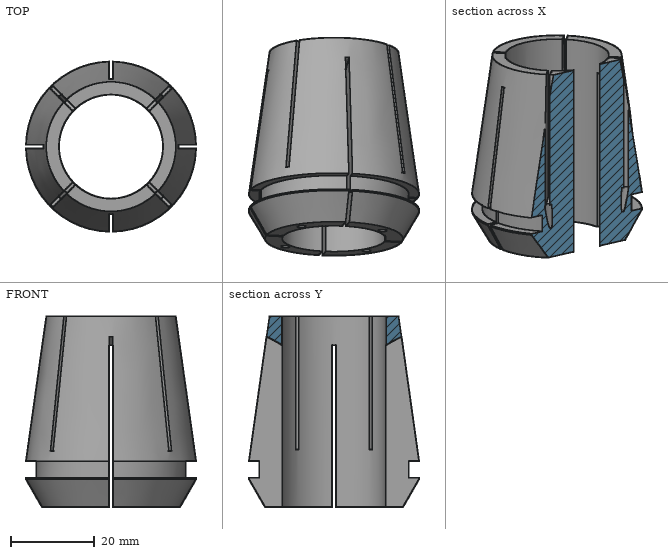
import cadquery as cq
import math

total_height = 46.0
bore_radius = 12.5
largest_radius = 20.5
groove_radius = 18.0
nose_height = 6.75
rim_top = 7.1
groove_top = 11.1
taper_angle = 8.0
nose_angle = 30.0

slot_width = 0.9
lower_slot_disc_radius = 30.0
lower_slot_disc_center = (28.7, 13.7)
upper_slot_disc_radius = 16.0
upper_slot_disc_center = (17.07, 29.25)
first_lower_slot_angle = 0.0
first_upper_slot_angle = 45.0
slots_per_end = 4

hole_diameter = 2.0
hole_slant = 10.0
hole_end_radius = 16.4

clearance = 1.0

slot_inner = bore_radius - clearance
slot_outer = largest_radius + clearance


def make_body():
    nose_bottom_radius = largest_radius - nose_height * math.tan(math.radians(nose_angle))
    taper_height = total_height - groove_top
    top_radius = largest_radius - taper_height * math.tan(math.radians(taper_angle))
    outline = [
        (bore_radius, 0),
        (nose_bottom_radius, 0),
        (largest_radius, nose_height),
        (largest_radius, rim_top),
        (groove_radius, rim_top),
        (groove_radius, groove_top),
        (largest_radius, groove_top),
        (top_radius, total_height),
        (bore_radius, total_height),
    ]
    return cq.Workplane("XZ").polyline(outline).close().revolve(360, (0, 0), (0, 1))


def disc_point(radius_from_axis, center, disc_radius, side):
    """Point on the disc edge, above (side = 1) or below (side = -1) the disc center."""
    offset = radius_from_axis - center[0]
    return radius_from_axis, center[1] + side * math.sqrt(disc_radius**2 - offset**2)


def make_slot(center, disc_radius, side, open_height, width=slot_width):
    """Radial slot along +X, open at open_height and closed by the disc edge."""
    middle = (slot_inner + slot_outer) / 2
    inner_end = disc_point(slot_inner, center, disc_radius, side)
    middle_end = disc_point(middle, center, disc_radius, side)
    outer_end = disc_point(slot_outer, center, disc_radius, side)
    return (
        cq.Workplane("XZ")
        .moveTo(slot_inner, open_height)
        .lineTo(*inner_end)
        .threePointArc(middle_end, outer_end)
        .lineTo(slot_outer, open_height)
        .close()
        .extrude(width / 2, both=True)
    )


def make_upper_slot(width=slot_width):
    open_height = total_height + clearance
    return make_slot(upper_slot_disc_center, upper_slot_disc_radius, -1, open_height, width)


def make_slanted_hole():
    """Hole in the XZ plane, from the curved end of an upper slot down through the bottom face."""
    slant = math.radians(hole_slant)
    _, end_height = disc_point(hole_end_radius, upper_slot_disc_center, upper_slot_disc_radius, -1)
    axis = cq.Vector(math.sin(slant), 0, math.cos(slant))
    start = cq.Vector(hole_end_radius, 0, end_height) + axis * clearance
    length = end_height / math.cos(slant) + 2 * clearance
    hole = cq.Workplane(cq.Solid.makeCylinder(hole_diameter / 2, length, start, axis * -1))
    return hole.cut(make_upper_slot(2 * hole_diameter))


def cut_around(body, cutter, first_angle):
    for index in range(slots_per_end):
        angle = first_angle + index * 360 / slots_per_end
        body = body.cut(cutter.rotate((0, 0, 0), (0, 0, 1), angle))
    return body


lower_slot = make_slot(lower_slot_disc_center, lower_slot_disc_radius, 1, -clearance)

result = make_body()
result = cut_around(result, lower_slot, first_lower_slot_angle)
result = cut_around(result, make_upper_slot(), first_upper_slot_angle)
result = cut_around(result, make_slanted_hole(), first_upper_slot_angle)